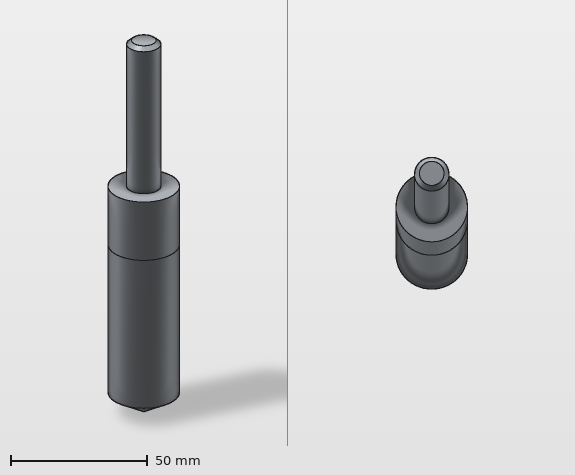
import cadquery as cq

total_length = 152.4
body_diameter = 26.2
stem_diameter = 12.6
tip_height = 8.1
joint_z = 68.7
collar_top_z = 92.7
stem_chamfer_height = 1.5
stem_chamfer_width = 1.8

body_radius = body_diameter / 2
stem_radius = stem_diameter / 2


def make_pointed_body():
    """Lower cylinder ending in a conical point."""
    profile = (
        cq.Workplane("XZ")
        .moveTo(0, 0)
        .lineTo(body_radius, tip_height)
        .lineTo(body_radius, joint_z)
        .lineTo(0, joint_z)
        .close()
    )
    return profile.revolve(360, (0, 0, 0), (0, 1, 0))


def make_capped_stem():
    """Collar flush with the body, carrying a slender stem with a chamfered end."""
    profile = (
        cq.Workplane("XZ")
        .moveTo(0, joint_z)
        .lineTo(body_radius, joint_z)
        .lineTo(body_radius, collar_top_z)
        .lineTo(stem_radius, collar_top_z)
        .lineTo(stem_radius, total_length - stem_chamfer_height)
        .lineTo(stem_radius - stem_chamfer_width, total_length)
        .lineTo(0, total_length)
        .close()
    )
    return profile.revolve(360, (0, 0, 0), (0, 1, 0))


pointed_body = make_pointed_body()
capped_stem = make_capped_stem()

result = cq.Compound.makeCompound([pointed_body.val(), capped_stem.val()])